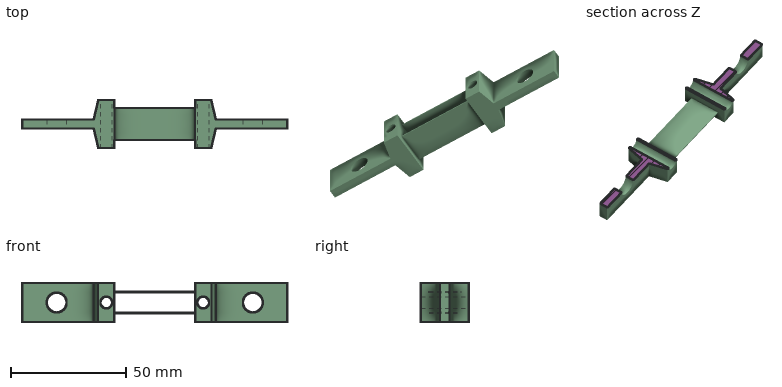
import cadquery as cq

total_length = 115.0
part_height = 17.0
block_width = 21.0

block_gap = 35.0
block_straight_length = 7.0
block_taper_length = 2.0
cross_hole_diameter = 5.0

tab_thickness = 4.0
tab_hole_diameter = 8.5
tab_hole_end_distance = 15.0

strip_width = 14.0
strip_thickness = 0.5
strip_spacing = 9.0

block_inner_x = block_gap / 2
block_shoulder_x = block_inner_x + block_straight_length
taper_root_x = block_shoulder_x + block_taper_length
tab_end_x = total_length / 2
cross_hole_x = block_inner_x + block_straight_length / 2
tab_hole_x = tab_end_x - tab_hole_end_distance


def hole_along_y(x, diameter):
    """Cylinder through the full width of the part at mid-height."""
    return (
        cq.Workplane("XZ")
        .center(x, 0)
        .circle(diameter / 2)
        .extrude(block_width, both=True)
    )


def end_fitting():
    """Block and tab on the +X end, with both through holes."""
    half_outline = [
        (block_inner_x, block_width / 2),
        (block_shoulder_x, block_width / 2),
        (taper_root_x, tab_thickness / 2),
        (tab_end_x, tab_thickness / 2),
    ]
    mirrored_outline = [(x, -y) for x, y in reversed(half_outline)]
    body = (
        cq.Workplane("XY")
        .polyline(half_outline + mirrored_outline)
        .close()
        .extrude(part_height / 2, both=True)
    )
    body = body.cut(hole_along_y(cross_hole_x, cross_hole_diameter))
    return body.cut(hole_along_y(tab_hole_x, tab_hole_diameter))


def flexure_strip(z):
    """Thin strip spanning the gap between the blocks, centred on height z."""
    return (
        cq.Workplane("XY")
        .box(block_gap, strip_width, strip_thickness)
        .translate((0, 0, z))
    )


right_end = end_fitting()
left_end = right_end.mirror("YZ")

result = right_end
for strip_z in (-strip_spacing / 2, strip_spacing / 2):
    result = result.union(flexure_strip(strip_z))
result = result.union(left_end)